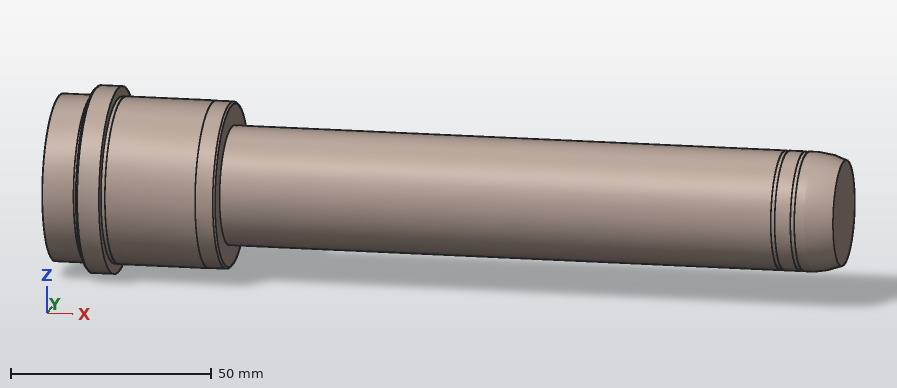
import cadquery as cq

total_length = 200.0

head_radius = 42.0 / 2
head_length = 44.0
head_chamfer = 0.5
collar_radius = 47.0 / 2
collar_start = 9.0
collar_width = 6.0
collar_chamfer = 0.5

relief_width = 1.0
relief_depth = 0.1
relief_starts = [collar_start - relief_width, collar_start + collar_width]

lead_in_length = 5.0
lead_in_reduction = 0.05
lead_in_start = head_length - lead_in_length
lead_in_radius = head_radius - lead_in_reduction

shank_radius = 30.0 / 2
nose_length = 7.0
nose_start = total_length - nose_length
nose_arc_radius = 18.0
tip_radius = 13.25

ring_groove_width = 1.0
ring_groove_depth = 0.1
ring_groove_starts = [total_length - 15.5, total_length - 10.5]


def make_cylinder(start, length, radius):
    """Solid cylinder on the X axis."""
    return cq.Workplane("YZ", origin=(start, 0, 0)).circle(radius).extrude(length)


def make_ring_cutter(start, width, surface_radius, depth):
    """Ring that cuts a groove of the given depth into a cylindrical surface."""
    return (
        cq.Workplane("YZ", origin=(start, 0, 0))
        .circle(surface_radius + depth)
        .circle(surface_radius - depth)
        .extrude(width)
    )


def make_head():
    """Head cylinder with chamfered lead-in, collar and collar reliefs."""
    lead_in = make_cylinder(lead_in_start, lead_in_length, lead_in_radius)
    lead_in = lead_in.faces(">X").chamfer(head_chamfer)
    head = make_cylinder(0, lead_in_start, head_radius).union(lead_in)
    for start in relief_starts:
        head = head.cut(make_ring_cutter(start, relief_width, head_radius, relief_depth))
    collar = make_cylinder(collar_start, collar_width, collar_radius)
    collar = collar.faces("<X").chamfer(collar_chamfer)
    return head.union(collar)


def make_shank():
    """Shank with a rounded nose and ring grooves, rooted inside the head."""
    shank = (
        cq.Workplane("XY")
        .moveTo(lead_in_start, 0)
        .lineTo(lead_in_start, shank_radius)
        .lineTo(nose_start, shank_radius)
        .radiusArc((total_length, tip_radius), nose_arc_radius)
        .lineTo(total_length, 0)
        .close()
        .revolve(360, (0, 0, 0), (1, 0, 0))
    )
    for start in ring_groove_starts:
        shank = shank.cut(
            make_ring_cutter(start, ring_groove_width, shank_radius, ring_groove_depth)
        )
    return shank


result = make_head().union(make_shank())